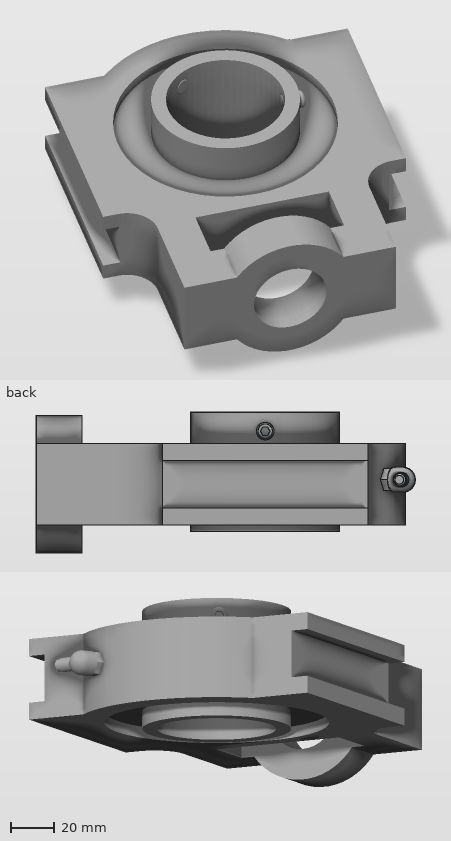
import cadquery as cq
import math


plate_height = 37.9
plate_width = 146.0
plate_half_length = 47.5
nose_radius = 65.0
arm_end = 106.0
arm_width = 102.0
neck_fillet = 14.7

groove_height = 22.0
groove_depth = 8.2

window_start = 60.0
window_end = 84.7
window_width = 64.4
boss_diameter = 63.8
boss_hole_diameter = 35.0

seat_diameter = 104.0
seat_recess = 5.3
sleeve_diameter = 69.0
bore_diameter = 55.0
sleeve_top = 33.3
sleeve_bottom = -22.0

screw_diameter = 8.0
screw_angles = (90, 210)
screw_level = 24.5
screw_outer_radius = 37.5
screw_inner_radius = 27.2
screw_chamfer = 0.7
socket_across_flats = 3.9
socket_depth = 2.1

nipple_angle = 150
nipple_level = 2.1
ball_diameter = 11.5
ball_distance = 73.5
hex_across_flats = 10.2
hex_outer_distance = 68.5
nipple_root_distance = 61.4
spout_angle = 83
spout_diameter = 6.7
spout_length = 10.7
tip_diameter = 5.8
tip_length = 3.2
tip_chamfer = 0.9


def radial_plane(angle, distance, level, direction=None):
    """Plane at a polar position, with its normal horizontal (radial by default)."""
    place = math.radians(angle)
    heading = math.radians(angle if direction is None else direction)
    return cq.Plane(
        origin=(distance * math.cos(place), distance * math.sin(place), level),
        xDir=(-math.sin(heading), math.cos(heading), 0),
        normal=(math.cos(heading), math.sin(heading), 0),
    )


def hex_diameter(across_flats):
    """Circumscribed diameter of a hexagon."""
    return across_flats / math.cos(math.radians(30))


def make_plate():
    """Flat body with a round nose, side flanges and a narrower arm."""
    half_width = plate_width / 2
    half_arm = arm_width / 2
    nose_half_width = math.sqrt(nose_radius**2 - plate_half_length**2)
    plate = (
        cq.Workplane("XY", origin=(0, 0, -plate_height / 2))
        .moveTo(-plate_half_length, nose_half_width)
        .lineTo(-plate_half_length, half_width)
        .lineTo(plate_half_length, half_width)
        .lineTo(plate_half_length, half_arm)
        .lineTo(arm_end, half_arm)
        .lineTo(arm_end, -half_arm)
        .lineTo(plate_half_length, -half_arm)
        .lineTo(plate_half_length, -half_width)
        .lineTo(-plate_half_length, -half_width)
        .lineTo(-plate_half_length, -nose_half_width)
        .threePointArc((-nose_radius, 0), (-plate_half_length, nose_half_width))
        .close()
        .extrude(plate_height)
    )
    neck_corners = cq.selectors.BoxSelector(
        (plate_half_length - 1.8, -half_arm - 1.8, -plate_height),
        (plate_half_length + 1.8, half_arm + 1.8, plate_height),
    )
    return plate.edges("|Z").edges(neck_corners).fillet(neck_fillet)


def make_guide_groove(side):
    """Cutter for the groove on the +Y (side = 1) or -Y (side = -1) edge.

    It runs past the flange ends, so that it clears the start of the neck fillets.
    """
    groove_length = 2 * (plate_half_length + neck_fillet)
    groove_center = side * (plate_width - groove_depth) / 2
    return cq.Workplane("XY", origin=(0, groove_center, 0)).box(
        groove_length, groove_depth, groove_height
    )


def make_nipple():
    """Hexagon foot, elbow with a ball end, and a slanting spout."""
    foot = (
        cq.Workplane(radial_plane(nipple_angle, nipple_root_distance, nipple_level))
        .polygon(6, hex_diameter(hex_across_flats))
        .extrude(hex_outer_distance - nipple_root_distance)
    )
    elbow = (
        cq.Workplane(radial_plane(nipple_angle, hex_outer_distance, nipple_level))
        .circle(ball_diameter / 2)
        .extrude(ball_distance - hex_outer_distance)
    )
    ball_plane = radial_plane(nipple_angle, ball_distance, nipple_level, spout_angle)
    ball = cq.Workplane(ball_plane).sphere(ball_diameter / 2)
    spout = cq.Workplane(ball_plane).circle(spout_diameter / 2).extrude(spout_length)
    tip = (
        cq.Workplane(ball_plane)
        .workplane(offset=spout_length)
        .circle(tip_diameter / 2)
        .extrude(tip_length)
        .faces(cq.selectors.DirectionMinMaxSelector(ball_plane.zDir))
        .chamfer(tip_chamfer)
    )
    return foot.union(elbow).union(ball).union(spout).union(tip)


def make_housing():
    housing = make_plate()
    boss_plane = cq.Workplane("YZ", origin=(window_end, 0, 0))
    boss_length = arm_end - window_end
    housing = housing.union(boss_plane.circle(boss_diameter / 2).extrude(boss_length))
    housing = housing.cut(boss_plane.circle(boss_hole_diameter / 2).extrude(boss_length))

    window_length = window_end - window_start
    window = cq.Workplane("XY", origin=(window_start + window_length / 2, 0, 0)).box(
        window_length, window_width, plate_height
    )
    housing = housing.cut(window)

    for side in (1, -1):
        housing = housing.cut(make_guide_groove(side))

    housing = housing.union(make_nipple())
    seat = cq.Workplane("XY").cylinder(plate_height, seat_diameter / 2)
    return housing.cut(seat)


def make_set_screw(angle):
    """Set screw, chamfered at both ends, from just inside the bore to just outside the sleeve."""
    screw_plane = radial_plane(angle, screw_inner_radius, screw_level)
    screw = (
        cq.Workplane(screw_plane)
        .circle(screw_diameter / 2)
        .extrude(screw_outer_radius - screw_inner_radius)
        .faces(cq.selectors.ParallelDirSelector(screw_plane.zDir))
        .chamfer(screw_chamfer)
    )
    socket = (
        cq.Workplane(radial_plane(angle, screw_outer_radius - socket_depth, screw_level))
        .polygon(6, hex_diameter(socket_across_flats))
        .extrude(socket_depth)
    )
    return screw.cut(socket)


def make_insert():
    """Bearing disc with its projecting sleeve, set screws and bore."""
    disc_height = plate_height - 2 * seat_recess
    insert = cq.Workplane("XY").cylinder(disc_height, seat_diameter / 2)
    sleeve_plane = cq.Workplane("XY", origin=(0, 0, sleeve_bottom))
    sleeve_length = sleeve_top - sleeve_bottom
    insert = insert.union(sleeve_plane.circle(sleeve_diameter / 2).extrude(sleeve_length))
    bore = sleeve_plane.circle(bore_diameter / 2).extrude(sleeve_length)
    insert = insert.cut(bore)

    for angle in screw_angles:
        insert = insert.union(make_set_screw(angle))
    return insert


housing = make_housing()
insert = make_insert()
result = cq.Compound.makeCompound([housing.val(), insert.val()])